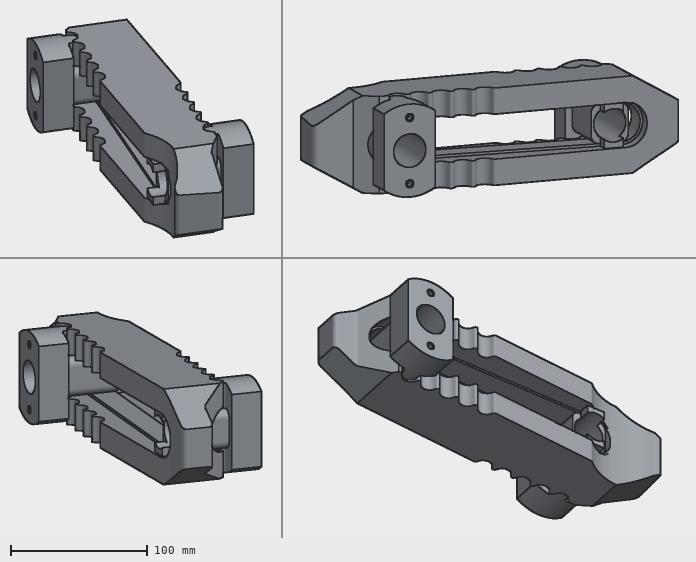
import cadquery as cq
import math

bar_length = 285.0
bar_height = 73.0
ridge_y = 28.0
taper_slope = 0.071

tongue_back_y = 19.5
tongue_front_y = -4.8
tongue_inner_x = 18.5
tongue_ramp_end_x = 40.8
tongue_corner_radius = 3.7
tongue_inner_radius = 4.3

jaw_back_y = 18.5
jaw_ramp_start_x = 237.0
jaw_ramp_end_x = 254.0
jaw_foot_y = -16.8
jaw_arc_x = 250.0
jaw_arc_radius = 47.3
jaw_arc_top_y = -8.5
jaw_back_radius = 4.0
jaw_foot_radius = 2.0
jaw_arc_end_radius = 2.8

bevel_length = 37.0
bevel_angle = 30.0

scallop_count = 5
scallop_row_length = 67.8
scallop_radius = 6.8
scallop_depth = 6.0
tooth_radius = 2.0

slot_start_x = 42.2
slot_end_x = 227.7
slot_width = 33.5
waist_width = 29.5
waist_depth = 19.5

front_pad_x = 51.0
back_pad_x = 223.0
pad_outer_y = 54.5
head_thickness = 23.5
head_diameter = 69.8
head_width = 40.0
pad_bore = 25.0
neck_width = 29.0
neck_corner_radius = 6.3
key_radius = 6.3
key_root_radius = 2.0
barb_width = 14.8
barb_length = 9.0
pin_hole_z = 24.8
pin_hole_diameter = 4.5
pin_hole_mouth = 6.0
pin_hole_depth = 8.5
drill_point_angle = 118.0

scallop_pitch = scallop_row_length / (scallop_count - 1)
half_mouth = scallop_pitch / 2
front_taper_start_x = front_pad_x + scallop_row_length + half_mouth
back_taper_start_x = back_pad_x - scallop_row_length - half_mouth
scallop_axis_y = ridge_y - scallop_depth + scallop_radius
key_axis_y = ridge_y - scallop_depth + key_radius
head_inner_y = pad_outer_y - head_thickness
waist_y = waist_depth / 2


def block(x_range, y_range, z_range):
    """Box given by its limits along each axis."""
    sizes = [high - low for low, high in (x_range, y_range, z_range)]
    corner = (x_range[0], y_range[0], z_range[0])
    return cq.Workplane("XY").box(*sizes, centered=False).translate(corner)


def bar_blank():
    """Bar outline in the XY plane, extruded over the full height, with its corners rounded."""
    arc_y = jaw_arc_top_y - jaw_arc_radius
    side_y = -ridge_y - taper_slope * front_taper_start_x - arc_y
    a = 1 + taper_slope**2
    b = taper_slope * side_y - jaw_arc_x
    c = jaw_arc_x**2 + side_y**2 - jaw_arc_radius**2
    heel_x = (-b - math.sqrt(b**2 - a * c)) / a
    heel_y = -ridge_y + taper_slope * (heel_x - front_taper_start_x)
    foot_x = jaw_arc_x + math.sqrt(jaw_arc_radius**2 - (jaw_foot_y - arc_y)**2)
    lean_stretch = math.hypot(1, taper_slope)
    end_x = bar_length + jaw_back_radius * (taper_slope + lean_stretch - 1)
    end_foot_x = end_x - taper_slope * (jaw_back_y - jaw_foot_y)
    tongue_taper_x = back_taper_start_x - (ridge_y - tongue_back_y) / taper_slope

    blank = (
        cq.Workplane("XY", origin=(0, 0, -bar_height / 2))
        .moveTo(0, tongue_front_y)
        .lineTo(tongue_inner_x, tongue_front_y)
        .lineTo(tongue_ramp_end_x, -ridge_y)
        .lineTo(front_taper_start_x, -ridge_y)
        .lineTo(heel_x, heel_y)
        .threePointArc((jaw_arc_x, jaw_arc_top_y), (foot_x, jaw_foot_y))
        .lineTo(end_foot_x, jaw_foot_y)
        .lineTo(end_x, jaw_back_y)
        .lineTo(jaw_ramp_end_x, jaw_back_y)
        .lineTo(jaw_ramp_start_x, ridge_y)
        .lineTo(back_taper_start_x, ridge_y)
        .lineTo(tongue_taper_x, tongue_back_y)
        .lineTo(0, tongue_back_y)
        .close()
        .extrude(bar_height)
    )
    rounded_corners = [
        (0, tongue_front_y, tongue_corner_radius),
        (0, tongue_back_y, tongue_corner_radius),
        (tongue_inner_x, tongue_front_y, tongue_inner_radius),
        (heel_x, heel_y, jaw_arc_end_radius),
        (foot_x, jaw_foot_y, jaw_arc_end_radius),
        (end_foot_x, jaw_foot_y, jaw_foot_radius),
        (end_x, jaw_back_y, jaw_back_radius),
    ]
    for x, y, radius in rounded_corners:
        blank = blank.edges(cq.selectors.NearestToPointSelector((x, y, 0))).fillet(radius)
    return blank


def scallop_cutter():
    """Scallop on the +Y flat at X = 0: round floor, straight walls and rounded tooth crests."""
    crest_y = ridge_y - tooth_radius
    centre_drop = scallop_axis_y - crest_y
    centre_gap = math.hypot(half_mouth, centre_drop)
    wall_angle = (math.atan2(half_mouth, centre_drop)
                  - math.acos((scallop_radius + tooth_radius) / centre_gap))
    floor_x = scallop_radius * math.sin(wall_angle)
    floor_y = scallop_axis_y - scallop_radius * math.cos(wall_angle)
    wall_x = half_mouth - tooth_radius * math.sin(wall_angle)
    wall_y = crest_y + tooth_radius * math.cos(wall_angle)
    mid_x = half_mouth - tooth_radius * math.sin(wall_angle / 2)
    mid_y = crest_y + tooth_radius * math.cos(wall_angle / 2)
    return (
        cq.Workplane("XY", origin=(0, 0, -bar_height / 2))
        .moveTo(-half_mouth, ridge_y)
        .threePointArc((-mid_x, mid_y), (-wall_x, wall_y))
        .lineTo(-floor_x, floor_y)
        .threePointArc((0, ridge_y - scallop_depth), (floor_x, floor_y))
        .lineTo(wall_x, wall_y)
        .threePointArc((mid_x, mid_y), (half_mouth, ridge_y))
        .close()
        .extrude(bar_height)
    )


def slot_cutter(width, start_y, end_y):
    """Round-ended slot along X, cut through a range of Y."""
    straight = slot_end_x - slot_start_x
    return (
        cq.Workplane("XZ", origin=((slot_start_x + slot_end_x) / 2, end_y, 0))
        .slot2D(straight + width, width)
        .extrude(end_y - start_y)
    )


def bar_side_envelope():
    """Side outline that bevels both ends of the bar, thick enough to span it in Y."""
    half = bar_height / 2
    tip = half - bevel_length * math.tan(math.radians(bevel_angle))
    return (
        cq.Workplane("XZ")
        .polyline([
            (0, -tip), (bevel_length, -half), (bar_length - bevel_length, -half), (bar_length, -tip),
            (bar_length, tip), (bar_length - bevel_length, half), (bevel_length, half), (0, tip),
        ])
        .close()
        .extrude(pad_outer_y, both=True)
    )


def make_bar(seated_pad):
    bar = bar_blank().intersect(bar_side_envelope())
    back_scallop = scallop_cutter()
    front_scallop = back_scallop.mirror("XZ")
    for index in range(scallop_count):
        shift = index * scallop_pitch
        bar = bar.cut(front_scallop.translate((front_pad_x + shift, 0, 0)))
        bar = bar.cut(back_scallop.translate((back_pad_x - shift, 0, 0)))
    bar = bar.cut(slot_cutter(waist_width, -pad_outer_y, pad_outer_y))
    bar = bar.cut(slot_cutter(slot_width, -pad_outer_y, -waist_y))
    bar = bar.cut(slot_cutter(slot_width, waist_y, pad_outer_y))
    return bar.cut(seated_pad)


def pad_key():
    """Rounded key along Z that sits in a scallop, with filleted roots on the head."""
    root_x = key_radius + key_root_radius
    root_mid = key_root_radius * (1 - math.sqrt(0.5))
    root_y = head_inner_y - key_root_radius
    return (
        cq.Workplane("XY", origin=(0, 0, -head_diameter / 2))
        .moveTo(-root_x, head_inner_y)
        .threePointArc((-key_radius - root_mid, head_inner_y - root_mid), (-key_radius, root_y))
        .lineTo(-key_radius, key_axis_y)
        .threePointArc((0, key_axis_y - key_radius), (key_radius, key_axis_y))
        .lineTo(key_radius, root_y)
        .threePointArc((key_radius + root_mid, head_inner_y - root_mid), (root_x, head_inner_y))
        .lineTo(root_x, pad_outer_y)
        .lineTo(-root_x, pad_outer_y)
        .close()
        .extrude(head_diameter)
    )


def pin_hole():
    """Blind drilled hole with a chamfered mouth, entering the head from +Y at X = 0, Z = 0."""
    radius = pin_hole_diameter / 2
    mouth = pin_hole_mouth / 2
    tip = radius / math.tan(math.radians(drill_point_angle / 2))
    bottom_y = pad_outer_y - pin_hole_depth
    return (
        cq.Workplane("XY")
        .polyline([
            (0, pad_outer_y), (mouth, pad_outer_y), (radius, pad_outer_y - (mouth - radius)),
            (radius, bottom_y), (0, bottom_y - tip),
        ])
        .close()
        .revolve(360, (0, 0, 0), (0, 1, 0))
    )


def pad_neck():
    """Rounded square neck reaching from the head to the far face of the waist."""
    return (
        cq.Workplane("XZ", origin=(0, head_inner_y, 0))
        .rect(neck_width, waist_width)
        .extrude(head_inner_y + waist_y)
        .edges("|Y")
        .fillet(neck_corner_radius)
    )


def make_pad():
    """Pad facing +Y, centred on X = 0: flatted round head, key, neck and end barbs."""
    round_stock = (
        cq.Workplane("XZ", origin=(0, pad_outer_y, 0))
        .circle(head_diameter / 2)
        .extrude(2 * pad_outer_y)
    )
    half_head = head_width / 2
    half_stock = head_diameter / 2
    head = block((-half_head, half_head), (head_inner_y, pad_outer_y), (-half_stock, half_stock))
    head = head.union(pad_key()).intersect(round_stock)

    barb = block(
        (-barb_width / 2, barb_width / 2),
        (-waist_y - barb_length, -waist_y),
        (-slot_width / 2, slot_width / 2),
    )
    bore = (
        cq.Workplane("XZ", origin=(0, pad_outer_y, 0))
        .circle(pad_bore / 2)
        .extrude(2 * pad_outer_y)
    )
    pad = head.union(pad_neck()).union(barb).cut(bore)
    for side in (-1, 1):
        pad = pad.cut(pin_hole().translate((0, 0, side * pin_hole_z)))
    return pad


pad = make_pad()
front_pad = pad.rotate((0, 0, 0), (0, 0, 1), 180).translate((front_pad_x, 0, 0))
back_pad = pad.translate((back_pad_x, 0, 0))
bar = make_bar(back_pad)

result = cq.Compound.makeCompound([bar.val(), front_pad.val(), back_pad.val()])